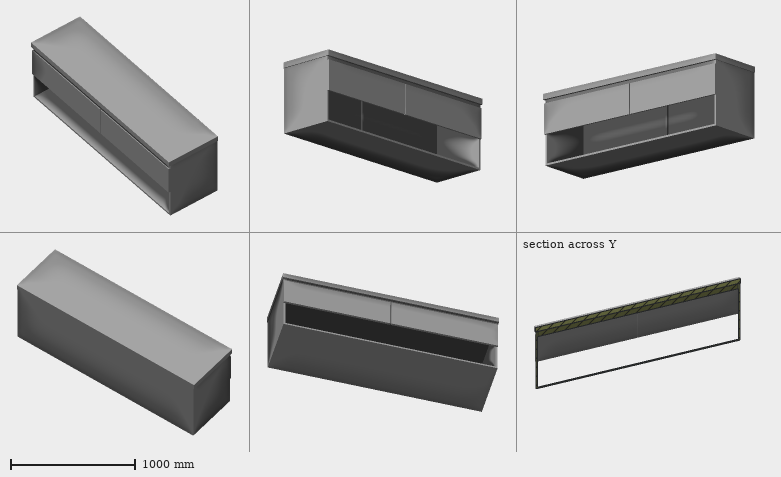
import cadquery as cq

length = 1800.0
depth = 500.0
height = 600.0

worktop_thickness = 49.0
worktop_edge_round = 1.0
end_overhang = 8.0

panel_thickness = 16.0
carcass_depth = 480.0
carcass_length = length - 2 * end_overhang
carcass_height = height - worktop_thickness
carcass_front = depth / 2 - carcass_depth
inner_length = carcass_length - 2 * panel_thickness

finger_gap = 32.0
drawer_height = 260.0
drawer_gap = 7.0
grip_bevel = 9.0
drawer_length = (carcass_length - drawer_gap) / 2
drawer_top = carcass_height - finger_gap

top_board_thickness = 49.0
rib_depth = 16.0


def board(x_size, y_size, z_size, x_center, y_front, z_bottom):
    """Rectangular board placed by its X centre, front face and underside."""
    return (
        cq.Workplane("XY", origin=(x_center, y_front, z_bottom))
        .box(x_size, y_size, z_size, centered=(True, False, False))
    )


def make_worktop():
    """Slab with its upright corners and top edges slightly rounded."""
    slab = board(length, depth, worktop_thickness, 0, -depth / 2, carcass_height)
    return slab.edges("|Z or >Z").fillet(worktop_edge_round)


def make_side_panel(side):
    x_center = side * (carcass_length - panel_thickness) / 2
    return board(panel_thickness, carcass_depth, carcass_height, x_center, carcass_front, 0)


def make_bottom_panel():
    return board(inner_length, carcass_depth, panel_thickness, 0, carcass_front, 0)


def make_inner_frame():
    """Top board reaching down behind the drawer tops, back panel below it and a central rib."""
    back_front = depth / 2 - panel_thickness
    board_bottom = carcass_height - top_board_thickness
    upright_height = board_bottom - panel_thickness
    top_board = board(inner_length, carcass_depth, top_board_thickness, 0, carcass_front, board_bottom)
    back = board(inner_length, panel_thickness, upright_height, 0, back_front, panel_thickness)
    rib = board(panel_thickness, rib_depth, upright_height, 0, back_front - rib_depth, panel_thickness)
    return top_board.union(back).union(rib)


def make_drawer_front(side):
    """Front panel with its top rear edge bevelled as a finger grip."""
    x_center = side * (drawer_length + drawer_gap) / 2
    y_front = carcass_front - panel_thickness
    panel = board(
        drawer_length, panel_thickness, drawer_height, x_center, y_front, drawer_top - drawer_height
    )
    return panel.faces(">Z").edges(">Y").chamfer(grip_bevel)


worktop = make_worktop()
bottom_panel = make_bottom_panel()
inner_frame = make_inner_frame()

side_panels = []
drawer_fronts = []
for side in (-1, 1):
    side_panels.append(make_side_panel(side).val())
    drawer_fronts.append(make_drawer_front(side).val())

result = cq.Compound.makeCompound(
    [worktop.val(), bottom_panel.val(), inner_frame.val(), *side_panels, *drawer_fronts]
)